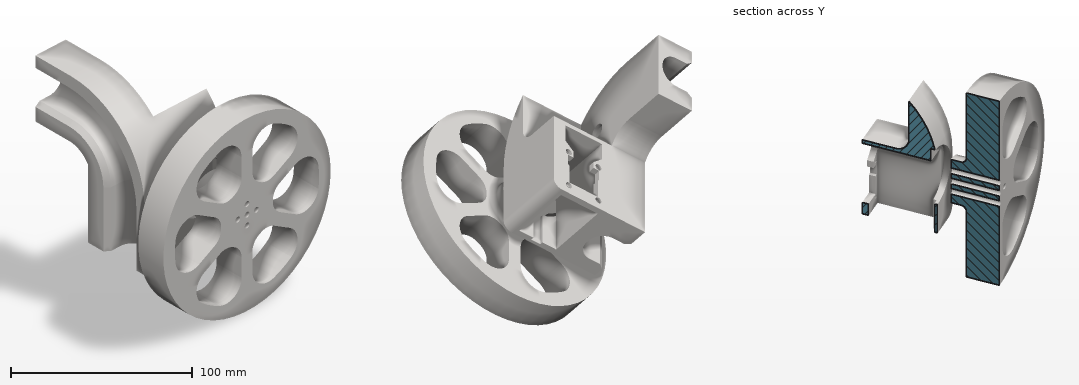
import cadquery as cq
import math


WHEEL_DIAMETER = 127.0
WHEEL_WIDTH = 20.0
HUB_DIAMETER = 30.0
HUB_LENGTH = 9.0
HUB_FILLET = 3.0
HUB_HOLE_DIAMETER = 3.6
HUB_HOLE_SPACING = 7.0
SPOKE_COUNT = 6
SPOKE_WIDTH = 8.2
RIM_THICKNESS = 8.7
WINDOW_OUTER_RADIUS = 12.0
WINDOW_INNER_RADIUS = 10.3
WINDOW_START_RADIUS = 19.6

TOTAL_HEIGHT = 128.4
ARM_END_X = -104.1
LEG_LEFT_X = -62.0
LEG_RIGHT_X = -17.0
BOTTOM_Z = -38.3
ARM_BOTTOM_Z = 21.5
FRONT_Y = -42.6
ELBOW_BACK_Y = -19.5
BLOCK_BACK_Y = 20.8
OUTER_BEND_RADIUS = 58.9
INNER_BEND_RADIUS = 17.7
ARM_TOP_Z = TOTAL_HEIGHT - WHEEL_DIAMETER / 2
BLOCK_STEP_X = -34.3
BLOCK_STEP_FILLET = 8.0
BLOCK_CORNER_RADIUS = 5.6

OUTER_BEND_X = LEG_RIGHT_X - OUTER_BEND_RADIUS
OUTER_BEND_Z = ARM_TOP_Z - OUTER_BEND_RADIUS
INNER_BEND_X = -77.1
INNER_BEND_Z = ARM_BOTTOM_Z - INNER_BEND_RADIUS
BLOCK_TOP_Z = INNER_BEND_Z + math.sqrt(INNER_BEND_RADIUS**2 - (LEG_LEFT_X - INNER_BEND_X) ** 2)

CHANNEL_INNER_RADIUS = 29.9
CHANNEL_OUTER_RADIUS = 53.0
CHANNEL_OUTER_BEND_X = -79.0
CHANNEL_OUTER_BEND_Z = 1.2
CHANNEL_DEPTH = 20.3
CHANNEL_FLOOR_FILLET = 9.6
MOUTH_CHAMFER_DEPTH = 3.3
MOUTH_CHAMFER_WIDTH = 2.6
OVERRUN = 6.4

FLOOR_HOLE_X = -48.9
FLOOR_HOLE_Z = 32.7
FLOOR_HOLE_DIAMETER = 9.0
FLOOR_SEAT_DIAMETER = 17.0
FLOOR_SEAT_RECESS = 0.4
FLOOR_SEAT_DEPTH = CHANNEL_DEPTH + FLOOR_SEAT_RECESS

WALL_THICKNESS = 3.9
CAVITY_HALF_WIDTH = 12.7
CAVITY_TOP_Z = 10.3
NECK_HALF_WIDTH = 6.9
NECK_TOP_Z = -6.0
TAPER_TOP_Z = -0.9
SHOULDER_HALF_WIDTH = 10.8
SHOULDER_TOP_Z = -10.4
SHOULDER_BOTTOM_Z = -17.2
WINDOW_HALF_WIDTH = 9.9
WINDOW_BOTTOM_Z = -30.2
HUB_CLEARANCE_DIAMETER = 37.0
SHAFT_GROOVE_WIDTH = 6.3
SHAFT_GROOVE_DEPTH = 1.9
SCREW_HALF_SPACING = 10.3
SCREW_HEIGHTS = (-8.1, -32.5)
SCREW_HEAD_DIAMETER = 4.0
SCREW_HEAD_DEPTH = 1.9
SCREW_HOLE_DIAMETER = 1.8


def point_at(radius, degrees):
    """Point at a radius and angle about the origin."""
    angle = math.radians(degrees)
    return (radius * math.cos(angle), radius * math.sin(angle))


def bend_middle(center_x, center_z, radius):
    """Middle of the quarter arc between the top and the right of a bend."""
    dx, dz = point_at(radius, 45)
    return (center_x + dx, center_z + dz)


def wheel_window():
    """Rounded opening between two parallel-sided spokes, centred on +Y."""
    half_angle = 180 / SPOKE_COUNT
    apex = SPOKE_WIDTH / 2 / math.sin(math.radians(half_angle))
    reach = WHEEL_DIAMETER
    side = reach * math.tan(math.radians(half_angle))
    wedge = (
        cq.Workplane("YZ")
        .polyline([(apex, 0), (apex + reach, side), (apex + reach, -side)])
        .close()
        .extrude(WHEEL_WIDTH)
    )
    ring = (
        cq.Workplane("YZ")
        .circle(WHEEL_DIAMETER / 2 - RIM_THICKNESS)
        .circle(WINDOW_START_RADIUS)
        .extrude(WHEEL_WIDTH)
    )
    window = wedge.intersect(ring)
    window = window.edges("|X").edges(">Y").fillet(WINDOW_OUTER_RADIUS)
    return window.edges("|X").edges("<Y").fillet(WINDOW_INNER_RADIUS)


def make_wheel():
    """Spoked wheel with a flared hub that carries five through holes."""
    rim = cq.Workplane("YZ").circle(WHEEL_DIAMETER / 2).extrude(WHEEL_WIDTH)
    window = wheel_window()
    for i in range(SPOKE_COUNT):
        rim = rim.cut(window.rotate((0, 0, 0), (1, 0, 0), i * 360 / SPOKE_COUNT))

    hub_radius = HUB_DIAMETER / 2
    blend = HUB_FILLET * math.sqrt(0.5)
    hub = (
        cq.Workplane("XY")
        .moveTo(-HUB_LENGTH, 0)
        .lineTo(-HUB_LENGTH, hub_radius)
        .lineTo(-HUB_FILLET, hub_radius)
        .threePointArc(
            (blend - HUB_FILLET, hub_radius + HUB_FILLET - blend),
            (0, hub_radius + HUB_FILLET),
        )
        .lineTo(WHEEL_WIDTH, hub_radius + HUB_FILLET)
        .lineTo(WHEEL_WIDTH, 0)
        .close()
        .revolve(360, (0, 0, 0), (1, 0, 0))
    )
    hole_centers = [(0, 0)] + [point_at(HUB_HOLE_SPACING, 90 * i) for i in range(4)]
    holes = (
        cq.Workplane("YZ", origin=(-HUB_LENGTH, 0, 0))
        .pushPoints(hole_centers)
        .circle(HUB_HOLE_DIAMETER / 2)
        .extrude(HUB_LENGTH + WHEEL_WIDTH)
    )
    return rim.union(hub).cut(holes)


def make_elbow():
    """Slab that runs along the arm, round the bend and down the leg."""
    return (
        cq.Workplane("XZ", origin=(0, ELBOW_BACK_Y, 0))
        .moveTo(ARM_END_X, ARM_TOP_Z)
        .lineTo(OUTER_BEND_X, ARM_TOP_Z)
        .threePointArc(
            bend_middle(OUTER_BEND_X, OUTER_BEND_Z, OUTER_BEND_RADIUS),
            (LEG_RIGHT_X, OUTER_BEND_Z),
        )
        .lineTo(LEG_RIGHT_X, BOTTOM_Z)
        .lineTo(LEG_LEFT_X, BOTTOM_Z)
        .lineTo(LEG_LEFT_X, BLOCK_TOP_Z)
        .radiusArc((INNER_BEND_X, ARM_BOTTOM_Z), -INNER_BEND_RADIUS)
        .lineTo(ARM_END_X, ARM_BOTTOM_Z)
        .close()
        .extrude(ELBOW_BACK_Y - FRONT_Y)
    )


def make_block():
    """Block behind the leg, stepped at the top, that houses the motor."""
    step_top_z = OUTER_BEND_Z + math.sqrt(
        OUTER_BEND_RADIUS**2 - (BLOCK_STEP_X - OUTER_BEND_X) ** 2
    )
    block = (
        cq.Workplane("XZ", origin=(0, BLOCK_BACK_Y, 0))
        .moveTo(LEG_LEFT_X, BOTTOM_Z)
        .lineTo(LEG_LEFT_X, BLOCK_TOP_Z)
        .lineTo(BLOCK_STEP_X - BLOCK_STEP_FILLET, BLOCK_TOP_Z)
        .radiusArc((BLOCK_STEP_X, BLOCK_TOP_Z + BLOCK_STEP_FILLET), -BLOCK_STEP_FILLET)
        .lineTo(BLOCK_STEP_X, step_top_z)
        .radiusArc((LEG_RIGHT_X, OUTER_BEND_Z), OUTER_BEND_RADIUS)
        .lineTo(LEG_RIGHT_X, BOTTOM_Z)
        .close()
        .extrude(BLOCK_BACK_Y - ELBOW_BACK_Y)
    )
    return block.edges("|X and >Y and <Z").fillet(BLOCK_CORNER_RADIUS)


def channel_outline(plane, margin):
    """Closed outline of the channel, its side walls moved outwards by a margin."""
    inner = CHANNEL_INNER_RADIUS - margin
    outer = CHANNEL_OUTER_RADIUS + margin
    start_x = ARM_END_X - OVERRUN
    end_z = BOTTOM_Z - OVERRUN
    return (
        plane.moveTo(start_x, CHANNEL_OUTER_BEND_Z + outer)
        .lineTo(CHANNEL_OUTER_BEND_X, CHANNEL_OUTER_BEND_Z + outer)
        .threePointArc(
            bend_middle(CHANNEL_OUTER_BEND_X, CHANNEL_OUTER_BEND_Z, outer),
            (CHANNEL_OUTER_BEND_X + outer, CHANNEL_OUTER_BEND_Z),
        )
        .lineTo(CHANNEL_OUTER_BEND_X + outer, end_z)
        .lineTo(INNER_BEND_X + inner, end_z)
        .lineTo(INNER_BEND_X + inner, INNER_BEND_Z)
        .threePointArc(
            bend_middle(INNER_BEND_X, INNER_BEND_Z, inner),
            (INNER_BEND_X, INNER_BEND_Z + inner),
        )
        .lineTo(start_x, INNER_BEND_Z + inner)
        .close()
    )


def make_channel():
    """Round-bottomed channel with a chamfered mouth."""
    floor_plane = cq.Workplane("XZ", origin=(0, FRONT_Y + CHANNEL_DEPTH, 0))
    trough = channel_outline(floor_plane, 0).extrude(CHANNEL_DEPTH)
    side_edges = trough.faces(">Y").edges("not(<X or <Z)")
    trough = trough.newObject(side_edges.vals()).fillet(CHANNEL_FLOOR_FILLET)

    mouth_plane = cq.Workplane("XZ", origin=(0, FRONT_Y, 0))
    mouth = channel_outline(mouth_plane, MOUTH_CHAMFER_WIDTH).workplane(offset=-MOUTH_CHAMFER_DEPTH)
    mouth = channel_outline(mouth, 0).loft(ruled=True)
    return trough.union(mouth)


def make_floor_hole():
    """Counterbored screw hole through the channel floor at the bend."""
    front = cq.Workplane("XZ", origin=(FLOOR_HOLE_X, FRONT_Y, FLOOR_HOLE_Z))
    seat = front.circle(FLOOR_SEAT_DIAMETER / 2).extrude(-FLOOR_SEAT_DEPTH)
    hole = front.circle(FLOOR_HOLE_DIAMETER / 2).extrude(FRONT_Y - ELBOW_BACK_Y)
    return seat.union(hole)


def make_motor_opening():
    """Shaped window through the left wall of the block."""
    right_side = [
        (CAVITY_HALF_WIDTH, CAVITY_TOP_Z),
        (CAVITY_HALF_WIDTH, TAPER_TOP_Z),
        (NECK_HALF_WIDTH, NECK_TOP_Z),
        (NECK_HALF_WIDTH, SHOULDER_TOP_Z),
        (SHOULDER_HALF_WIDTH, SHOULDER_TOP_Z),
        (SHOULDER_HALF_WIDTH, SHOULDER_BOTTOM_Z),
        (WINDOW_HALF_WIDTH, SHOULDER_BOTTOM_Z - (SHOULDER_HALF_WIDTH - WINDOW_HALF_WIDTH)),
        (WINDOW_HALF_WIDTH, WINDOW_BOTTOM_Z),
    ]
    left_side = [(-y, z) for y, z in reversed(right_side)]
    return (
        cq.Workplane("YZ", origin=(LEG_LEFT_X, 0, 0))
        .polyline(right_side + left_side)
        .close()
        .extrude(WALL_THICKNESS)
    )


def make_motor_cavity():
    """Space for the motor between the left and right walls, open at the bottom."""
    length = LEG_RIGHT_X - LEG_LEFT_X - 2 * WALL_THICKNESS
    height = CAVITY_TOP_Z - BOTTOM_Z
    start = (LEG_LEFT_X + WALL_THICKNESS, 0, BOTTOM_Z)
    return cq.Workplane("XY", origin=start).box(
        length, 2 * CAVITY_HALF_WIDTH, height, centered=(False, True, False)
    )


def make_hub_clearance():
    """Round hole for the hub in the right wall and a groove below it for the shaft."""
    wall = cq.Workplane("YZ", origin=(LEG_RIGHT_X - WALL_THICKNESS, 0, 0))
    hole = wall.circle(HUB_CLEARANCE_DIAMETER / 2).extrude(WALL_THICKNESS)
    groove = wall.center(0, BOTTOM_Z / 2).rect(SHAFT_GROOVE_WIDTH, -BOTTOM_Z).extrude(SHAFT_GROOVE_DEPTH)
    return hole.union(groove)


def make_motor_screws():
    """Four screw holes with head recesses around the lower part of the window."""
    centers = [(side * SCREW_HALF_SPACING, z) for side in (-1, 1) for z in SCREW_HEIGHTS]
    face = cq.Workplane("YZ", origin=(LEG_LEFT_X, 0, 0)).pushPoints(centers)
    heads = face.circle(SCREW_HEAD_DIAMETER / 2).extrude(SCREW_HEAD_DEPTH)
    holes = face.circle(SCREW_HOLE_DIAMETER / 2).extrude(WALL_THICKNESS)
    return heads.union(holes)


def make_bracket():
    """Elbow and motor block in one piece."""
    bracket = make_elbow().union(make_block())
    bracket = bracket.cut(make_channel())
    bracket = bracket.cut(make_floor_hole())
    bracket = bracket.cut(make_motor_cavity())
    bracket = bracket.cut(make_motor_opening())
    bracket = bracket.cut(make_hub_clearance())
    return bracket.cut(make_motor_screws())


bracket = make_bracket()
wheel = make_wheel()

result = cq.Compound.makeCompound([bracket.val(), wheel.val()])